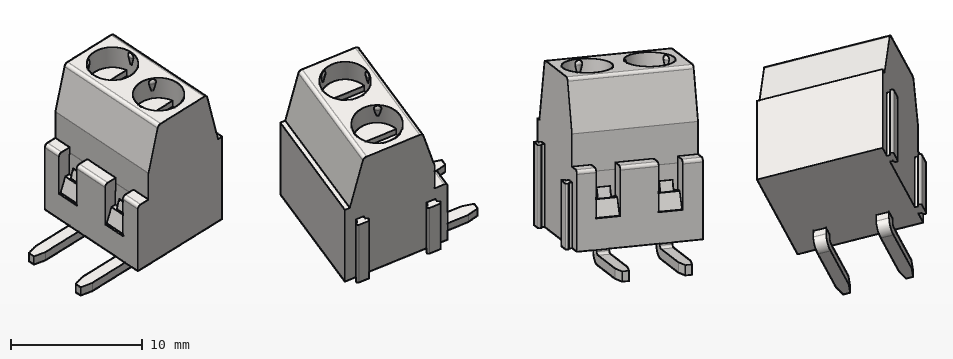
import cadquery as cq
import math


housing_width = 10.16
housing_height = 13.17
back_y = 4.17
front_y = -4.7
top_half_depth = 2.56
back_ledge_z = 8.15
back_slope_foot_y = 3.75
front_wall_y = -3.59
front_slope_foot_z = 9.03
front_step_z = 6.42
top_edge_radius = 0.34
step_edge_radius = 0.3

first_pole_x = -2.56
entry_pitch = 5.03
entry_centers = [first_pole_x, first_pole_x + entry_pitch]
pin_pitch = 5.09
pin_centers = [-pin_pitch / 2, pin_pitch / 2]

entry_width = 1.94
entry_floor_z = 2.48
entry_floor_back_y = -4.53
entry_ledge_z = 3.79
entry_ledge_front_y = -4.03
entry_wall_top_z = 5.91
entry_wall_lean = 0.05
ramp_width = 1.07
ramp_front_y = -3.9
ramp_top_z = 4.62

bore_radius = 1.95
head_radius = 1.91
head_top_depth = 1.95
head_height = 1.47
slot_width = 0.8
slot_depth = 0.59
nub_count = 3
nub_radius = 0.38
nub_offset = 0.22
nub_depth = 0.41
nub_taper = 2.06
first_nub_angles = [90, 30]

rail_projection = 0.59
rail_head_thickness = 0.24
rail_taper_end = 0.24
rail_corner_radius = 0.13

pin_width = 1.03
pin_thickness = 0.82
pin_back_y = -2.68
pin_tip_y = -8.55
pin_drop = 1.53
pin_insertion = 1.76
bend_inner_radius = 0.24
bend_outer_radius = 0.94
pin_tip_width = 0.56
pin_tip_length = 0.97

head_top_z = housing_height - head_top_depth
bore_floor_z = head_top_z - head_height


def extrude_along_x(profile, width, center_x):
    """Extrude a closed list of (y, z) points, centred on center_x."""
    plane = cq.Workplane("YZ", origin=(center_x, 0, 0))
    return plane.polyline(profile).close().extrude(width / 2, both=True)


def make_block():
    profile = [
        (front_y, 0),
        (back_y, 0),
        (back_y, back_ledge_z),
        (back_slope_foot_y, back_ledge_z),
        (top_half_depth, housing_height),
        (-top_half_depth, housing_height),
        (front_wall_y, front_slope_foot_z),
        (front_wall_y, front_step_z),
        (front_y, front_step_z),
    ]
    block = extrude_along_x(profile, housing_width, 0)
    block = block.faces(">Z").edges("|X").fillet(top_edge_radius)
    step_edge = cq.selectors.NearestToPointSelector((0, front_y, front_step_z))
    return block.edges(step_edge).fillet(step_edge_radius)


def entry_cut(center_x):
    """Notch for one wire: open to the front and top, with a sloped sill and a ledge."""
    profile = [
        (front_y, entry_floor_z),
        (entry_floor_back_y, entry_floor_z),
        (entry_ledge_front_y, entry_ledge_z),
        (front_wall_y - entry_wall_lean, entry_ledge_z),
        (front_wall_y, entry_wall_top_z),
        (front_wall_y, front_step_z),
        (front_y, front_step_z),
    ]
    return extrude_along_x(profile, entry_width, center_x)


def entry_ramp(center_x):
    """Small wedge on the ledge against the back wall of a wire entry."""
    profile = [
        (front_wall_y, entry_ledge_z),
        (ramp_front_y, entry_ledge_z),
        (front_wall_y - entry_wall_lean, ramp_top_z),
        (front_wall_y, ramp_top_z),
    ]
    return extrude_along_x(profile, ramp_width, center_x)


def screw_bore(center_x):
    bore = cq.Workplane("XY", origin=(center_x, 0, bore_floor_z)).circle(bore_radius)
    return bore.extrude(housing_height - bore_floor_z)


def retaining_nub(center_x, angle):
    """Round-topped nub on the bore wall that tapers away downwards."""
    distance = bore_radius + nub_offset
    x = center_x + distance * math.cos(math.radians(angle))
    y = distance * math.sin(math.radians(angle))
    half_section = (
        cq.Workplane("XZ", origin=(x, y, housing_height - nub_depth))
        .moveTo(0, -nub_taper)
        .lineTo(nub_radius, 0)
        .radiusArc((0, nub_radius), -nub_radius)
        .close()
    )
    return half_section.revolve(360, (0, 0, 0), (0, 1, 0))


def coupling_rail(center_y, head_width, neck_width, height):
    """Upright dovetail rail standing on the -X side of the housing."""
    wall_x = -housing_width / 2
    outer_x = wall_x - rail_projection
    head_end_x = outer_x + rail_head_thickness
    neck_x = wall_x - rail_taper_end
    rail = (
        cq.Workplane("XY")
        .polyline([
            (wall_x, center_y - neck_width / 2),
            (neck_x, center_y - neck_width / 2),
            (head_end_x, center_y - head_width / 2),
            (outer_x, center_y - head_width / 2),
            (outer_x, center_y + head_width / 2),
            (head_end_x, center_y + head_width / 2),
            (neck_x, center_y + neck_width / 2),
            (wall_x, center_y + neck_width / 2),
        ])
        .close()
        .extrude(height)
    )
    return rail.faces("<X").edges("|Z").fillet(rail_corner_radius)


def pin_socket(center_x):
    socket = cq.Workplane("XY").center(center_x, pin_back_y - pin_thickness / 2)
    return socket.rect(pin_width, pin_thickness).extrude(pin_insertion)


def make_housing():
    housing = make_block()
    for center_x, first_angle in zip(entry_centers, first_nub_angles):
        housing = housing.cut(entry_cut(center_x)).union(entry_ramp(center_x))
        housing = housing.cut(screw_bore(center_x))
        for index in range(nub_count):
            angle = first_angle + index * 360 / nub_count
            housing = housing.union(retaining_nub(center_x, angle))
    for center_x in pin_centers:
        housing = housing.cut(pin_socket(center_x))
    back_rail = coupling_rail(center_y=2.88, head_width=1.09, neck_width=0.68, height=6.54)
    front_rail = coupling_rail(center_y=-3.26, head_width=1.18, neck_width=0.76, height=5.19)
    return housing.union(back_rail).union(front_rail)


def make_screw(center_x):
    """Slotted screw head that stands on the bore floor with slight side clearance."""
    head = cq.Workplane("XY", origin=(center_x, 0, bore_floor_z)).circle(head_radius)
    head = head.extrude(head_height)
    slot = cq.Workplane("XY", origin=(center_x, 0, head_top_z - slot_depth))
    slot = slot.rect(slot_width, 2 * head_radius).extrude(slot_depth)
    return head.cut(slot)


def make_pin(center_x):
    """Flat pin bent forward below the housing, with a tapered tip."""
    front_face_y = pin_back_y - pin_thickness
    leg_top_z = pin_thickness - pin_drop
    pin = extrude_along_x([
        (pin_back_y, pin_insertion),
        (pin_back_y, -pin_drop),
        (pin_tip_y, -pin_drop),
        (pin_tip_y, leg_top_z),
        (front_face_y, leg_top_z),
        (front_face_y, pin_insertion),
    ], pin_width, center_x)
    outer_bend = cq.selectors.NearestToPointSelector((center_x, pin_back_y, -pin_drop))
    inner_bend = cq.selectors.NearestToPointSelector((center_x, front_face_y, leg_top_z))
    pin = pin.edges(outer_bend).fillet(bend_outer_radius)
    pin = pin.edges(inner_bend).fillet(bend_inner_radius)
    taper_start_y = pin_tip_y + pin_tip_length
    plan = (
        cq.Workplane("XY", origin=(center_x, 0, -pin_drop))
        .polyline([
            (-pin_tip_width / 2, pin_tip_y),
            (pin_tip_width / 2, pin_tip_y),
            (pin_width / 2, taper_start_y),
            (pin_width / 2, pin_back_y),
            (-pin_width / 2, pin_back_y),
            (-pin_width / 2, taper_start_y),
        ])
        .close()
        .extrude(pin_drop + pin_insertion)
    )
    return pin.intersect(plan)


housing = make_housing()
screws = [make_screw(center_x) for center_x in entry_centers]
pins = [make_pin(center_x) for center_x in pin_centers]

result = cq.Compound.makeCompound(
    [housing.val()]
    + [screw.val() for screw in screws]
    + [pin.val() for pin in pins]
)